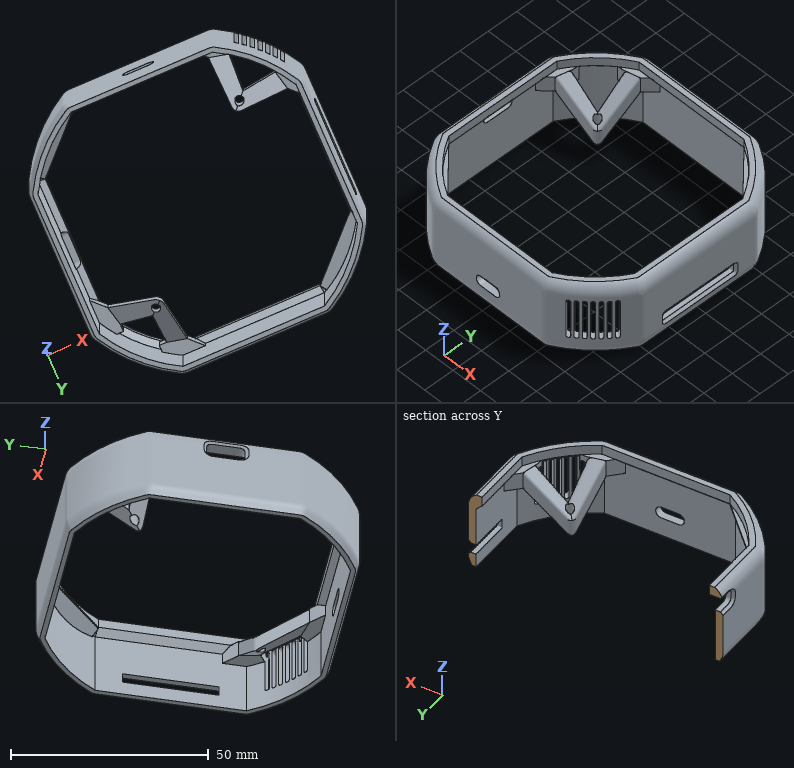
import cadquery as cq
import math

half_width = 38.0
corner_radius = 43.0
height = 23.5
corner_blend = 3.5
profile_radius = 4.6
round_start = 19.4
bottom_chamfer_height = 1.3
bottom_chamfer_width = 0.65
bottom_round_top = 3.1

wall = 2.4
lip_wall = 4.2
lip_bottom = 20.6
slope_height = lip_wall - wall
web_edge = 0.5

hole_offset = 20.3
hole_diameter = 2.3
bracket_depth = 5.0
arm_slope = 0.85
arm_turn = 13.0
arm_inner = 22.0
foot_x, foot_y = 32.1, 16.8
arm_taper = 0.09
arm_nose_radius = 2.2
arm_outer_round = 0.8
arm_inner_round = 1.5
foot_rise = 2.0
root = half_width - wall / 2
nose = (foot_y + arm_taper * foot_x) / (1 + arm_taper)
foot_inner = foot_x - (arm_inner - foot_y) * math.tan(math.radians(arm_turn))

slot_flare = 0.8
left_slot_length, left_slot_height = 9.95, 4.15
left_slot_radius = 1.4
left_slot_z = 18.35
front_slot_length, front_slot_height = 8.5, 3.4
front_slot_z = 7.4
right_slot_length, right_slot_height = 24.9, 2.85
right_slot_radius = 0.3
right_slot_z = 5.7
vent_count = 7
vent_pitch = 2.8
vent_width = 1.2
vent_bottom, vent_top = 5.3, 18.7
vent_direction = -45.0


def prism(inset, bottom, top):
    """Square-and-circle outline set inwards by inset, between two heights."""
    side = 2 * (half_width - inset)
    tall = top - bottom
    square = cq.Workplane("XY").workplane(offset=bottom).rect(side, side).extrude(tall)
    disk = cq.Workplane("XY").workplane(offset=bottom).circle(corner_radius - inset).extrude(tall)
    return square.intersect(disk)


def half_section(reach):
    """Outer profile from the Z axis to the given reach."""
    dz = height - round_start
    top_inset = profile_radius - math.sqrt(profile_radius**2 - dz**2)
    half_angle = math.asin(dz / profile_radius) / 2
    mid_inset = profile_radius * (1 - math.cos(half_angle))
    mid_rise = profile_radius * math.sin(half_angle)
    chamfer_angle = math.atan2(bottom_chamfer_width, bottom_chamfer_height)
    lower_radius = (bottom_round_top - bottom_chamfer_height) / math.sin(chamfer_angle)
    lower_inset = lower_radius * (1 - math.cos(chamfer_angle))
    lower_mid_inset = lower_radius * (1 - math.cos(chamfer_angle / 2))
    lower_mid_drop = lower_radius * math.sin(chamfer_angle / 2)
    return (
        cq.Workplane("XZ")
        .lineTo(reach - lower_inset - bottom_chamfer_width, 0)
        .lineTo(reach - lower_inset, bottom_chamfer_height)
        .threePointArc(
            (reach - lower_mid_inset, bottom_round_top - lower_mid_drop),
            (reach, bottom_round_top),
        )
        .lineTo(reach, round_start)
        .threePointArc((reach - mid_inset, round_start + mid_rise), (reach - top_inset, height))
        .lineTo(0, height)
        .close()
    )


def outer_body():
    """Profiled bar along X and along Y, met with a profiled disk and blended corners."""
    bar = half_section(half_width).extrude(half_width, both=True)
    bar = bar.union(bar.mirror("YZ"))
    cross_bar = bar.rotate((0, 0, 0), (0, 0, 1), 90)
    disk = half_section(corner_radius).revolve(360, (0, 0, 0), (0, 1, 0))
    ring = bar.intersect(cross_bar).intersect(disk)
    return ring.edges("|Z").fillet(corner_blend)


def cavity():
    """Wide lower room, 45 degree slope inwards, narrower lip opening."""
    slope_start = lip_bottom - slope_height
    room = prism(wall, 0, slope_start)
    opening = prism(lip_wall, 0, height)
    side = 2 * (half_width - wall)
    square_slope = (
        cq.Workplane("XY").workplane(offset=slope_start)
        .rect(side, side).extrude(slope_height, taper=45)
    )
    disk_slope = (
        cq.Workplane("XY").workplane(offset=slope_start)
        .circle(corner_radius - wall).extrude(slope_height, taper=45)
    )
    return room.union(square_slope.intersect(disk_slope)).union(opening)


def corner_web():
    """Straight web across the +X +Y corner of the lip, undercut at 45 degrees."""
    flat = half_width - lip_wall
    arc = corner_radius - lip_wall
    flat_end = math.sqrt(arc**2 - flat**2)
    web_distance = (flat + flat_end) / math.sqrt(2)
    web_length = (flat - flat_end) * math.sqrt(2)
    web_root = corner_radius - wall / 2
    web = (
        cq.Workplane("XZ")
        .moveTo(web_distance, lip_bottom)
        .lineTo(web_distance, lip_bottom - web_edge)
        .lineTo(web_root, lip_bottom - web_edge - (web_root - web_distance))
        .lineTo(web_root, lip_bottom)
        .close()
        .extrude(web_length / 2, both=True)
    )
    return web.rotate((0, 0, 0), (0, 0, 1), 45)


def mirror_in_corner(feature):
    """Mirror a feature in the vertical plane through the -X +Y corner diagonal."""
    return feature.mirror("YZ").rotate((0, 0, 0), (0, 0, 1), 90)


def turn_at_foot(slab):
    """Centre a slab on the foot corner and turn it to the arm's slope direction."""
    moved = slab.translate((-foot_x, foot_y, 0))
    return moved.rotate((-foot_x, foot_y, 0), (-foot_x, foot_y, 1), -arm_turn)


def bracket_plan():
    """Upright prism on the L-shaped plan of the -X +Y bracket, with a rounded nose."""
    half = (
        cq.Workplane("XY")
        .moveTo(-root, foot_y - (root - foot_x))
        .lineTo(-foot_x, foot_y)
        .lineTo(-nose, nose)
        .lineTo(-arm_inner, arm_inner)
        .lineTo(-foot_inner, arm_inner)
        .lineTo(-foot_inner, arm_inner + foot_rise)
        .lineTo(-foot_inner - wall, arm_inner + foot_rise)
        .lineTo(-root, arm_inner)
        .close()
        .extrude(lip_bottom)
    )
    plan = half.union(mirror_in_corner(half))
    nose_edge = cq.selectors.NearestToPointSelector((-nose, nose, lip_bottom / 2))
    return plan.edges(nose_edge).fillet(arm_nose_radius)


def bracket_arm():
    """Sloping arm along X with rounded upper edges, cut off on the corner diagonal."""
    start = foot_x + wall
    side_start = foot_y - arm_taper * wall
    plan = (
        cq.Workplane("XY")
        .polyline([(-start, side_start), (-nose, nose), (-arm_inner, arm_inner), (-start, arm_inner)])
        .close()
        .extrude(height)
    )
    rise = foot_x * arm_slope
    slab = (
        cq.Workplane("XZ")
        .moveTo(-foot_x, lip_bottom + rise)
        .lineTo(foot_x, lip_bottom - rise)
        .lineTo(foot_x, lip_bottom - rise - bracket_depth)
        .lineTo(-foot_x, lip_bottom + rise - bracket_depth)
        .close()
        .extrude(half_width, both=True)
    )
    arm = plan.intersect(turn_at_foot(slab))
    for end, side, radius in (
        (nose, foot_y, arm_outer_round),
        (arm_inner, arm_inner, arm_inner_round),
    ):
        middle = (start + end) / 2
        middle_height = lip_bottom - arm_slope * (foot_x - middle)
        upper_edge = cq.selectors.NearestToPointSelector((-middle, side, middle_height))
        arm = arm.edges(upper_edge).fillet(radius)
    return arm


def bracket_foot():
    """Level block from which the arm along X leaves the wall."""
    block = cq.Workplane("XY").box(half_width, half_width, bracket_depth, centered=(False, True, False))
    block = block.translate((-half_width, 0, lip_bottom - bracket_depth))
    return turn_at_foot(block)


def bracket():
    """L-shaped screw bracket in the -X +Y corner."""
    plan = bracket_plan()
    diagonal_half = (
        cq.Workplane("XY")
        .polyline([(0, 0), (-half_width, 0), (-half_width, half_width)])
        .close()
        .extrude(height)
    )
    foot = plan.intersect(bracket_foot()).intersect(diagonal_half)
    half = foot.union(bracket_arm())
    both = half.union(mirror_in_corner(half)).intersect(plan)
    hole = cq.Workplane("XY").center(-hole_offset, hole_offset).circle(hole_diameter / 2).extrude(height)
    return both.cut(hole)


def half_turn(feature):
    """Turn a feature 180 degrees about Z."""
    return feature.rotate((0, 0, 0), (0, 0, 1), 180)


def flared_slot(length, tall, radius):
    """Slot along Y through a wall whose outer face lies at X = 0, flared at 45 degrees outside."""
    flare = (
        cq.Workplane("YZ")
        .sketch()
        .rect(length + 2 * slot_flare, tall + 2 * slot_flare)
        .vertices().fillet(radius + slot_flare)
        .finalize()
        .extrude(slot_flare, taper=45)
    )
    through = cq.Workplane("YZ").rect(length, tall).extrude(2 * lip_wall)
    through = through.edges("|X").fillet(radius)
    return flare.union(through)


def left_slot():
    slot = flared_slot(left_slot_length, left_slot_height, left_slot_radius)
    return slot.translate((-half_width, 0, left_slot_z))


def right_slot():
    slot = flared_slot(right_slot_length, right_slot_height, right_slot_radius)
    return half_turn(slot).translate((half_width, 0, right_slot_z))


def front_slot():
    return (
        cq.Workplane("XZ").workplane(offset=half_width - 2 * wall).center(0, front_slot_z)
        .slot2D(front_slot_length, front_slot_height)
        .extrude(2 * wall)
    )


def vents():
    """Row of upright round-ended slots through the +X -Y corner arc."""
    slots = cq.Workplane("XY")
    for index in range(vent_count):
        turn = vent_direction + (index - (vent_count - 1) / 2) * vent_pitch
        slot = (
            cq.Workplane("YZ").workplane(offset=corner_radius - 2 * wall)
            .center(0, (vent_bottom + vent_top) / 2)
            .slot2D(vent_top - vent_bottom, vent_width, 90)
            .extrude(3 * wall)
            .rotate((0, 0, 0), (0, 0, 1), turn)
        )
        slots = slots.add(slot)
    return slots.combine()


body = outer_body()
result = body.cut(cavity())
for part in (corner_web().intersect(body), bracket().intersect(body)):
    result = result.union(part).union(half_turn(part))
for opening in (left_slot(), front_slot(), right_slot()):
    result = result.cut(opening)
result = result.cut(vents())